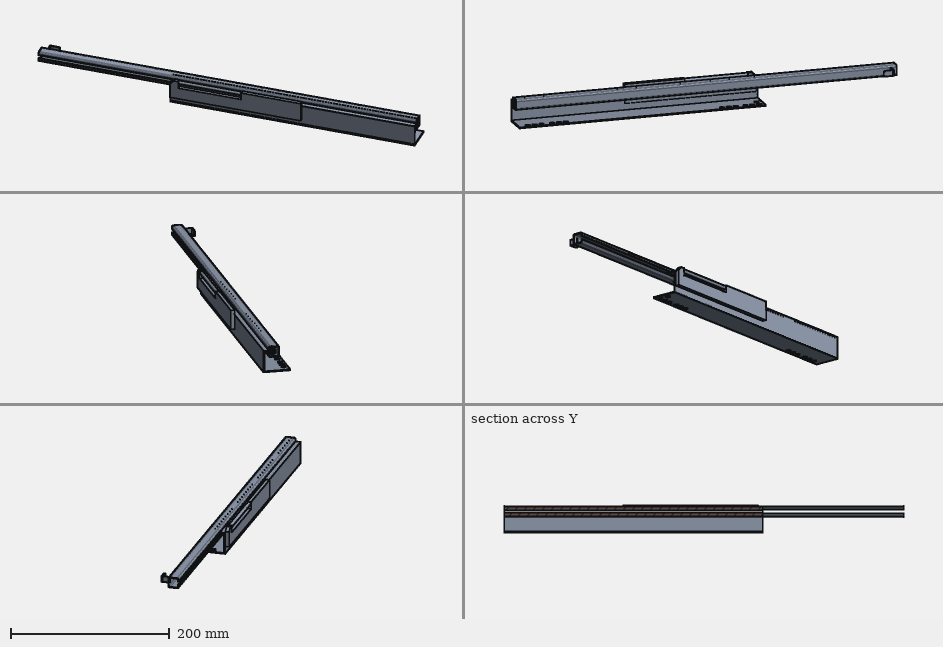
import cadquery as cq

SLIDE_LENGTH = 504.0
TOTAL_DEPTH = 40.0
TOTAL_HEIGHT = 35.0
SHEET = 1.5

BRACKET_START = 178.0
BRACKET_LENGTH = SLIDE_LENGTH - BRACKET_START
BRACKET_FRONT = 5.0
BRACKET_HEIGHT = 28.5
HOLE_DIAMETER = 6.0
HOLE_Y = 34.5
HOLE_PITCH = 9.0
HOLES_PER_GROUP = 3
HOLE_GROUP_STARTS = [185.0, 216.0, 441.0, 473.5]
LOCATING_X = 185.0
LOCATING_Y = 22.5

RAIL_FRONT = 11.5
RAIL_SIZE = 14.0
RAIL_BOTTOM = 19.5
RAIL_WALL = 1.25
RAIL_RADIUS = 2.5
RAIL_CAVITY = RAIL_SIZE - 2 * RAIL_WALL
RAIL_SLOT = 4.5
RAIL_MIDDLE_Z = RAIL_BOTTOM + RAIL_SIZE / 2
RAIL_BACK = RAIL_FRONT + RAIL_SIZE

HOOK_X = 7.0
HOOK_LENGTH = 13.5
HOOK_BACK = 37.0
HOOK_BOTTOM = 23.0
HOOK_HEIGHT = 7.5
HOOK_CORNER = 2.5

TUBE_Y = 17.5
TUBE_DIAMETER = 7.0
TUBE_BORE = 3.0
RIB_THICKNESS = 1.0

COVER_START = 179.5
COVER_LENGTH = 174.5
COVER_BOTTOM = 9.5
COVER_HEIGHT = TOTAL_HEIGHT - COVER_BOTTOM
COVER_CHAMFER = 5.0
NOTCH_START = 190.5
NOTCH_LENGTH = 83.5
NOTCH_DEPTH = 9.5
ROD_DIAMETER = 5.0
ROD_Y = 3.0


def box(x, y, z, length, depth, height):
    """Box given by its lowest corner and its sizes along X, Y and Z."""
    return cq.Workplane("XY").box(length, depth, height, centered=False).translate((x, y, z))


def tube_axis():
    """Workplane across the slide, on the tube axis at the front end of the bracket."""
    return cq.Workplane("YZ", origin=(BRACKET_START, TUBE_Y, RAIL_MIDDLE_Z))


def make_bracket():
    depth = TOTAL_DEPTH - BRACKET_FRONT
    base = box(BRACKET_START, BRACKET_FRONT, 0, BRACKET_LENGTH, depth, SHEET)
    upright = box(BRACKET_START, BRACKET_FRONT, 0, BRACKET_LENGTH, SHEET, BRACKET_HEIGHT)
    arm = box(BRACKET_START, BRACKET_FRONT, BRACKET_HEIGHT - SHEET,
              BRACKET_LENGTH, TUBE_Y - BRACKET_FRONT, SHEET)
    hole_points = [
        (start + HOLE_PITCH * i, HOLE_Y) for start in HOLE_GROUP_STARTS for i in range(HOLES_PER_GROUP)
    ]
    hole_points.append((LOCATING_X, LOCATING_Y))
    tube_seat = tube_axis().circle(TUBE_DIAMETER / 2).extrude(BRACKET_LENGTH)
    holes = cq.Workplane("XY").pushPoints(hole_points).circle(HOLE_DIAMETER / 2).extrude(SHEET)
    return base.union(upright).union(arm).cut(tube_seat).cut(holes)


def make_rail():
    outer = box(0, RAIL_FRONT, RAIL_BOTTOM, SLIDE_LENGTH, RAIL_SIZE, RAIL_SIZE)
    outer = outer.edges("|X").fillet(RAIL_RADIUS)
    inner = box(0, RAIL_FRONT + RAIL_WALL, RAIL_BOTTOM + RAIL_WALL,
                SLIDE_LENGTH, RAIL_CAVITY, RAIL_CAVITY)
    inner = inner.edges("|X").fillet(RAIL_RADIUS - RAIL_WALL)
    root_y = RAIL_BACK - RAIL_WALL / 2
    slot = box(0, RAIL_FRONT, RAIL_MIDDLE_Z - RAIL_SLOT / 2, SLIDE_LENGTH, RAIL_WALL, RAIL_SLOT)
    stem = box(HOOK_X, root_y, HOOK_BOTTOM, SHEET, HOOK_BACK - root_y, HOOK_HEIGHT)
    tip = box(HOOK_X, HOOK_BACK - SHEET, HOOK_BOTTOM, HOOK_LENGTH, SHEET, HOOK_HEIGHT)
    tip = tip.edges("|Y and >X").fillet(HOOK_CORNER)
    return outer.cut(inner).cut(slot).union(stem).union(tip)


def make_middle_rail():
    tube = tube_axis().circle(TUBE_DIAMETER / 2).extrude(BRACKET_LENGTH)
    rib = tube_axis().rect(RIB_THICKNESS, RAIL_CAVITY).extrude(BRACKET_LENGTH)
    bore = tube_axis().circle(TUBE_BORE / 2).extrude(BRACKET_LENGTH)
    return tube.union(rib).cut(bore)


def make_cover():
    body = box(COVER_START, 0, COVER_BOTTOM, COVER_LENGTH, BRACKET_FRONT, COVER_HEIGHT)
    body = body.edges("|Y and >Z and <X").chamfer(COVER_CHAMFER)
    notch = box(NOTCH_START, 0, TOTAL_HEIGHT - NOTCH_DEPTH, NOTCH_LENGTH, BRACKET_FRONT, NOTCH_DEPTH)
    radius = ROD_DIAMETER / 2
    rod = (
        cq.Workplane("YZ", origin=(NOTCH_START, ROD_Y, TOTAL_HEIGHT - radius))
        .moveTo(-radius, 0)
        .threePointArc((0, radius), (radius, 0))
        .threePointArc((0, -radius), (-radius, 0))
        .close()
        .extrude(NOTCH_LENGTH)
    )
    return body.cut(notch).union(rod, clean=False)


bracket = make_bracket()
rail = make_rail()
middle_rail = make_middle_rail()
cover = make_cover()

result = cq.Compound.makeCompound([bracket.val(), rail.val(), middle_rail.val(), cover.val()])